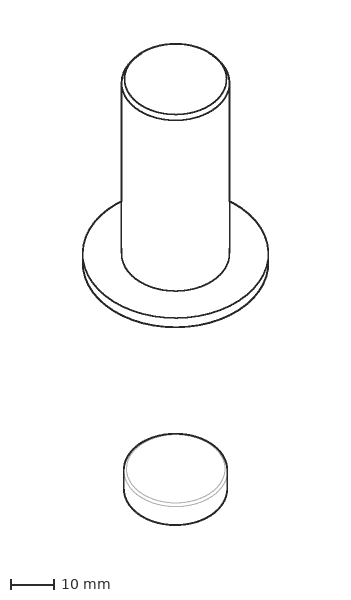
import cadquery as cq
import math

flange_diameter = 43.0
flange_thickness = 3.0
shank_diameter = 25.0
shank_length = 56.0

chamfer_height = 1.2
chamfer_angle = 30.0
chamfer_inset = chamfer_height * math.tan(math.radians(chamfer_angle))

disc_diameter = 24.0
disc_thickness = 7.0
disc_rim_radius = 0.6
disc_gap = 66.0

shank_bottom = flange_thickness
disc_bottom = -disc_gap - disc_thickness


def cylinder(diameter, height, bottom):
    """Solid cylinder on the Z axis, standing on the given height."""
    return cq.Workplane("XY").workplane(offset=bottom).circle(diameter / 2).extrude(height)


def make_pin():
    """Round shank with a chamfered free end, rising from a flat flange."""
    flange = cylinder(flange_diameter, flange_thickness, 0)
    shank = cylinder(shank_diameter, shank_length, shank_bottom)
    shank = shank.faces(">Z").edges().chamfer(chamfer_height, chamfer_inset)
    return flange.union(shank)


def make_disc():
    """Plain disc with both rims rounded."""
    disc = cylinder(disc_diameter, disc_thickness, disc_bottom)
    return disc.faces(">Z or <Z").edges().fillet(disc_rim_radius)


pin = make_pin()
disc = make_disc()

result = cq.Compound.makeCompound([pin.val(), disc.val()])